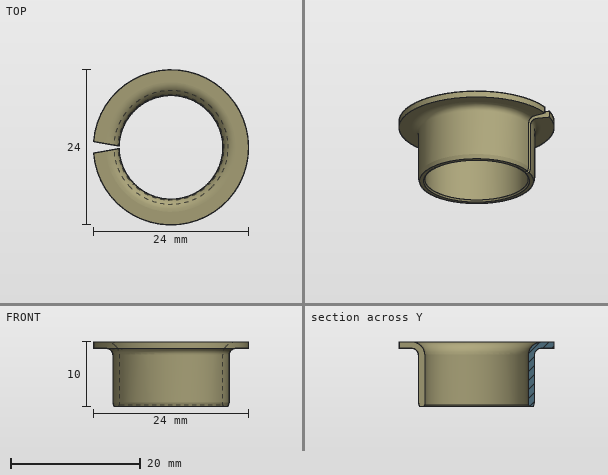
import cadquery as cq
import math

height = 10.0
flange_radius = 12.0
sleeve_radius = 9.0
wall = 1.0
outer_bend = 1.0

chamfer_height = 0.65
chamfer_width = 0.2

bore_chamfer_height = 0.29
bore_chamfer_width = 0.2

split_half_angle = 10.0
split_apex_radius = 7.0
split_reach = flange_radius + wall

bore_radius = sleeve_radius - wall
inner_bend = outer_bend + wall
bend_center_radius = sleeve_radius + outer_bend
bend_center_z = height - inner_bend
half_diagonal = math.sqrt(0.5)


def bend_midpoint(radius):
    """Middle of a quarter-circle bend facing the axis and the flange top."""
    return (
        bend_center_radius - radius * half_diagonal,
        bend_center_z + radius * half_diagonal,
    )


def bushing():
    """Revolve the sleeve and flange section around Z."""
    return (
        cq.Workplane("XZ")
        .moveTo(bore_radius + bore_chamfer_width, 0)
        .lineTo(sleeve_radius - chamfer_width, 0)
        .lineTo(sleeve_radius, chamfer_height)
        .lineTo(sleeve_radius, bend_center_z)
        .threePointArc(bend_midpoint(outer_bend), (bend_center_radius, height - wall))
        .lineTo(flange_radius, height - wall)
        .lineTo(flange_radius, height)
        .lineTo(bend_center_radius, height)
        .threePointArc(bend_midpoint(inner_bend), (bore_radius, bend_center_z))
        .lineTo(bore_radius, bore_chamfer_height)
        .close()
        .revolve(360, (0, 0), (0, 1))
        .rotate((0, 0, 0), (0, 0, 1), 180)
    )


def split_wedge():
    """Full-height wedge that opens outward toward -X."""
    half_width = (split_reach - split_apex_radius) * math.tan(math.radians(split_half_angle))
    return (
        cq.Workplane("XY")
        .polyline([(-split_apex_radius, 0), (-split_reach, half_width), (-split_reach, -half_width)])
        .close()
        .extrude(height)
    )


result = bushing().cut(split_wedge())